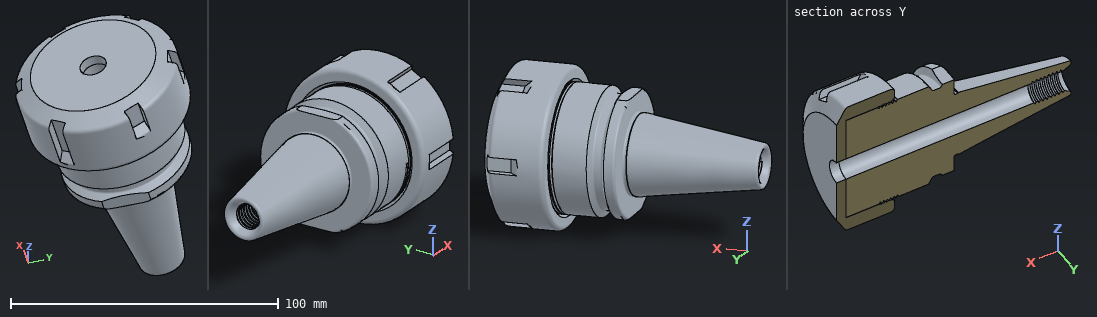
import cadquery as cq
import math

total_length = 102.5

taper_ratio = 7 / 24
gauge_radius = 31.75 / 2
taper_length = 48.4
tail_radius = gauge_radius - taper_length * taper_ratio / 2
tail_rounding = 1.0

gauge_land = 1.0
neck_radius = 15.6
neck_step = 0.3
neck_length = 2.6
neck_fillet = 0.6

flange_start = taper_length + neck_length
body_radius = 25.0
flange_rounding = 1.0
flat_half_height = 23.3
groove_centre = flange_start + 7.8
groove_floor_radius = 22.1
groove_mouth = 6.8
groove_flank_angle = math.radians(30)
groove_fillet = 0.8
groove_start = groove_centre - groove_mouth / 2
groove_end = groove_centre + groove_mouth / 2
groove_run = (body_radius - groove_floor_radius) * math.tan(groove_flank_angle)

bore_radius = 5.05
centre_radius = 6.9
centre_half_angle = math.radians(30)
centre_rounding = 1.7
centre_depth = (centre_radius - bore_radius) / math.tan(centre_half_angle)
tail_pitch = 1.75
tail_thread_depth = 0.9
tail_thread_turns = 8

nut_radius = 31.5
nut_start = 77.0
nut_rear_fillet = 2.0
nut_front_fillet = 2.0
nut_face_radius = 24.3
nut_cone_angle = math.radians(60)
nut_mouth_radius = 26.2
nut_mouth_depth = nut_mouth_radius - body_radius
nut_cone_start = total_length - (nut_radius - nut_face_radius) / math.tan(nut_cone_angle)
socket_end = nut_cone_start

nose_pitch = 1.5
nose_thread_depth = 0.92
nose_thread_start = 75.4
nose_thread_turns = 6

slot_count = 6
slot_width = 6.2
slot_floor_radius = 28.25
long_slot_floor_start = 84.0
short_slot_shift = 6.8
slot_edge_rounding = 1.0
slot_clearance = 2.0


def revolve_about_x(profile):
    return profile.close().revolve(360, (0, 0, 0), (1, 0, 0))


def corner_fillet_points(corner, before, after, radius):
    """Start, middle and end of an arc of the given radius that rounds a corner."""
    def unit(end):
        dx = end[0] - corner[0]
        dy = end[1] - corner[1]
        length = math.hypot(dx, dy)
        return dx / length, dy / length

    u = unit(before)
    v = unit(after)
    half_angle = math.acos(u[0] * v[0] + u[1] * v[1]) / 2
    tangent = radius / math.tan(half_angle)
    middle_distance = radius / math.sin(half_angle) - radius
    bisector_length = math.hypot(u[0] + v[0], u[1] + v[1])
    start = (corner[0] + tangent * u[0], corner[1] + tangent * u[1])
    end = (corner[0] + tangent * v[0], corner[1] + tangent * v[1])
    middle = tuple(c + middle_distance * (a + b) / bisector_length for c, a, b in zip(corner, u, v))
    return start, middle, end


def outline(corners):
    """Open outline through (x, y, rounding radius) corners; a radius of 0 keeps the corner sharp."""
    profile = cq.Workplane("XY").moveTo(*corners[0][:2])
    for before, corner, after in zip(corners, corners[1:], corners[2:]):
        if corner[2] > 0:
            start, middle, end = corner_fillet_points(corner[:2], before[:2], after[:2], corner[2])
            profile = profile.lineTo(*start).threePointArc(middle, end)
        else:
            profile = profile.lineTo(*corner[:2])
    return profile.lineTo(*corners[-1][:2])


def thread_groove(start, root_radius, crest_radius, pitch, turns):
    """Helical V groove along X, cut from the crest radius to the root radius, starting at -Y."""
    depth = abs(root_radius - crest_radius)
    outward = math.copysign(1, crest_radius - root_radius)
    overcut = 0.1 * depth
    half_width = (depth + overcut) * math.tan(math.radians(30))
    mouth_radius = crest_radius + outward * overcut
    helix = cq.Wire.makeHelix(pitch, pitch * turns, crest_radius)
    groove = (
        cq.Workplane("XZ")
        .polyline([(root_radius, 0), (mouth_radius, half_width), (mouth_radius, -half_width)])
        .close()
        .sweep(cq.Workplane(obj=helix), isFrenet=True)
    )
    along_x = groove.rotate((0, 0, 0), (0, 1, 0), 90)
    return along_x.rotate((0, 0, 0), (1, 0, 0), -90).translate((start, 0, 0))


def make_holder():
    step_start = taper_length + gauge_land
    holder = revolve_about_x(outline([
        (centre_depth, bore_radius, 0),
        (0, centre_radius, centre_rounding),
        (0, tail_radius, tail_rounding),
        (taper_length, gauge_radius, 0),
        (step_start, gauge_radius, 0),
        (step_start + neck_step, neck_radius, 0),
        (flange_start, neck_radius, neck_fillet),
        (flange_start, body_radius, flange_rounding),
        (groove_start, body_radius, 0),
        (groove_start + groove_run, groove_floor_radius, groove_fillet),
        (groove_end - groove_run, groove_floor_radius, groove_fillet),
        (groove_end, body_radius, 0),
        (socket_end, body_radius, 0),
        (socket_end, bore_radius, 0),
    ]))

    flange_length = groove_centre - flange_start
    flat_depth = body_radius - flat_half_height
    for side in (1, -1):
        flat = cq.Workplane("XY").box(flange_length, 2 * body_radius, flat_depth)
        middle = (flange_start + flange_length / 2, 0, side * (flat_half_height + flat_depth / 2))
        holder = holder.cut(flat.translate(middle))

    tail_thread = thread_groove(
        centre_depth, bore_radius + tail_thread_depth, bore_radius, tail_pitch, tail_thread_turns)
    nose_thread = thread_groove(
        nose_thread_start, body_radius - nose_thread_depth, body_radius, nose_pitch, nose_thread_turns)
    return holder.cut(tail_thread).cut(nose_thread)


def slot_cutter(floor_start):
    """Spanner slot with a 45 degree run-out at its rear, placed on the +Y side of the nut."""
    ramp_top = floor_start - (nut_radius - slot_floor_radius)
    profile = outline([
        (ramp_top - slot_clearance, nut_radius, 0),
        (ramp_top, nut_radius, slot_edge_rounding),
        (floor_start, slot_floor_radius, 0),
        (total_length, slot_floor_radius, 0),
        (total_length, nut_radius + slot_clearance, 0),
        (ramp_top - slot_clearance, nut_radius + slot_clearance, 0),
    ])
    return profile.close().extrude(slot_width / 2, both=True)


def make_nut():
    nut = revolve_about_x(outline([
        (nut_start, nut_mouth_radius, 0),
        (nut_start, nut_radius, nut_rear_fillet),
        (nut_cone_start, nut_radius, nut_front_fillet),
        (total_length, nut_face_radius, 0),
        (total_length, bore_radius, 0),
        (socket_end, bore_radius, 0),
        (socket_end, body_radius, 0),
        (nut_start + nut_mouth_depth, body_radius, 0),
    ]))

    for index in range(slot_count):
        angle = index * 360 / slot_count
        on_short_half = math.cos(math.radians(angle)) > 0
        floor_start = long_slot_floor_start + (short_slot_shift if on_short_half else 0)
        nut = nut.cut(slot_cutter(floor_start).rotate((0, 0, 0), (1, 0, 0), angle))
    return nut


holder = make_holder()
nut = make_nut()
result = cq.Compound.makeCompound([*holder.solids().vals(), *nut.solids().vals()])